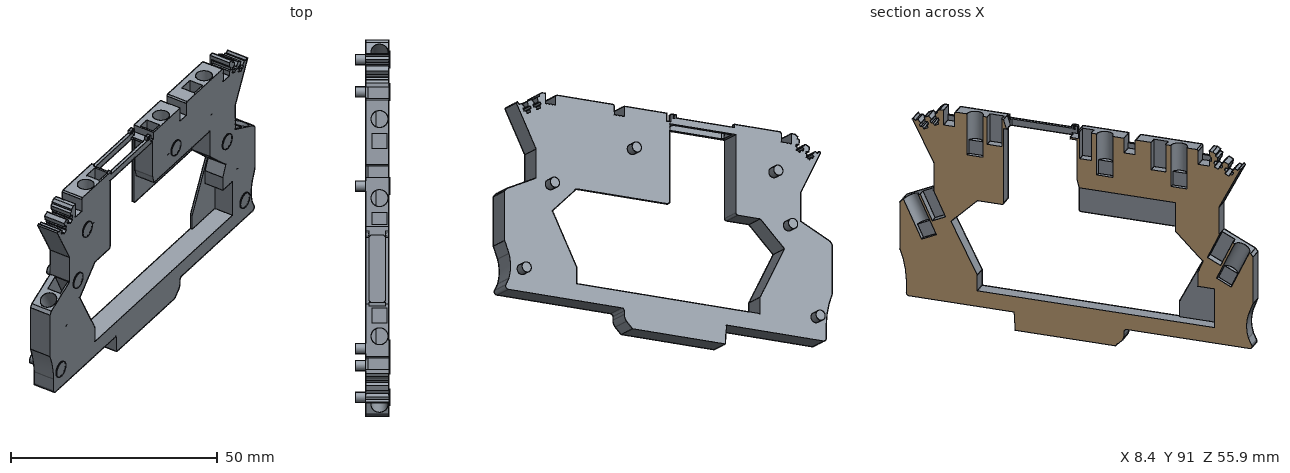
import cadquery as cq
import math

body_thick = 5.6
half_length = 45.5
height = 55.9
web_thick = 0.55

foot_z = 4.8
rail_z = 9.1
waist_y = 36.8
window_top_z = 33.0
window_y = 25.5
window_peak = (32.2, 26.5)
gap_left_y = -0.4
gap_right_y = -18.75
notch_floor_z = 53.3
notch_width = 2.7
comb_notch_y = 34.1

comb_angle = math.radians(27)
comb_origin = (38.1, 53.7)
comb_pitch = 3.1
first_groove = -2.1
groove_levels = [(-0.1, 0.9), (1.2, 0.55), (1.4, 1.1), (1.9, 1.1), (2.1, 0.55), (2.7, 0.55)]


def comb_point(along, depth):
    """(y, z) of a point given along the +Y comb (rising inwards) and into the housing."""
    y = comb_origin[0] - along * math.cos(comb_angle) - depth * math.sin(comb_angle)
    z = comb_origin[1] + along * math.sin(comb_angle) - depth * math.cos(comb_angle)
    return (y, z)


def mirrored(points):
    return [(-y, z) for y, z in points]


def prism(points, x_start=0.0, x_end=body_thick):
    """Closed (y, z) polygon extruded along X."""
    return cq.Workplane("YZ").workplane(offset=x_start).polyline(points).close().extrude(x_end - x_start)


def block(x_range, y_range, z_range):
    size = [high - low for low, high in (x_range, y_range, z_range)]
    corner = [low for low, high in (x_range, y_range, z_range)]
    return cq.Workplane("XY").box(*size, centered=False).translate(tuple(corner))


def edges_along_x(y, z, margin=0.1):
    """Selector for the edges that run along X through (y, z)."""
    low = (-margin, y - margin, z - margin)
    high = (body_thick + margin, y + margin, z + margin)
    return cq.selectors.BoxSelector(low, high)


side_low_z = 17.0
end_face_top_z = 29.5
shoulder_low_y = 44.9
shoulder_low_z = 30.3
shoulder_high_z = 34.1
grip_y = 43.9
toe_y = 45.2
toe_radius = 0.8
comb_top_y = 35.1
neck_low_z = 41.4
key_right_y = -15.8
key_right_root_y = -16.1
key_bottom_y = 10.0
key_left_y = 12.3
key_fillet = 0.6

upper_end = [
    (half_length, side_low_z),
    (half_length, end_face_top_z),
    (shoulder_low_y, shoulder_low_z),
    (waist_y, shoulder_high_z),
    (waist_y, neck_low_z),
    comb_point(-4.4, -0.55),
    comb_point(-3.9, -0.7),
    comb_point(-3.7, 0),
    comb_point(2.55, 0),
    comb_point(2.7, -0.5),
    (comb_top_y, height),
]

outline = cq.Workplane("YZ").moveTo(*upper_end[0])
for point in upper_end[1:] + mirrored(upper_end)[::-1]:
    outline = outline.lineTo(*point)
housing = (
    outline
    .threePointArc((-44.3, 13.1), (-grip_y, 9.2))
    .lineTo(-grip_y, foot_z + toe_radius)
    .radiusArc((-grip_y + toe_radius, foot_z), -toe_radius)
    .lineTo(key_right_root_y, foot_z)
    .lineTo(key_right_y, 0)
    .lineTo(key_bottom_y, 0)
    .lineTo(11.65, 1.6)
    .threePointArc((12.1, 2.4), (key_left_y, 3.3))
    .lineTo(key_left_y, foot_z - key_fillet)
    .radiusArc((key_left_y + key_fillet, foot_z), key_fillet)
    .lineTo(toe_y - toe_radius, foot_z)
    .threePointArc((toe_y - 0.1, foot_z + 0.4), (toe_y - 0.1, 5.9))
    .lineTo(44.3, 7.6)
    .threePointArc((grip_y, 10.9), (44.3, 13.9))
    .close()
    .extrude(body_thick)
)

left_window = [(window_y, rail_z), (window_y, 13.3), window_peak, (window_y, window_top_z)]
window = prism(left_window + mirrored(left_window)[::-1])
gap = block((0, body_thick), (gap_right_y, gap_left_y), (rail_z, notch_floor_z))
housing = housing.cut(window).cut(gap)
corner_radius = 0.55
for corner_y in (gap_left_y, gap_right_y):
    housing = housing.edges(edges_along_x(corner_y, window_top_z)).fillet(corner_radius)

for groove_centre in (first_groove, first_groove + comb_pitch):
    near_wall = [comb_point(groove_centre - half, depth) for depth, half in groove_levels]
    far_wall = [comb_point(groove_centre + half, depth) for depth, half in groove_levels]
    groove = near_wall + far_wall[::-1]
    housing = housing.cut(prism(groove)).cut(prism(mirrored(groove)))

notch_extra_depth = 1.4
notch_corner = 0.4
middle_notch_y = 12.3
notches = [
    (comb_notch_y - notch_width, comb_notch_y - notch_width, -1),
    (middle_notch_y, middle_notch_y + notch_width, 1),
    (-comb_notch_y, -comb_notch_y + notch_width, 1),
]
for low_y, bevel_y, inward in notches:
    span = (low_y, low_y + notch_width)
    housing = housing.cut(block((0, body_thick), span, (notch_floor_z, height)))
    housing = housing.cut(
        block((web_thick, body_thick), span, (notch_floor_z - notch_extra_depth, height)))
    bevel = [
        (bevel_y, height),
        (bevel_y + inward * notch_corner, height),
        (bevel_y, height - notch_corner),
    ]
    housing = housing.cut(prism(bevel))

tooth_undercut = [
    (comb_notch_y, 54.8),
    (comb_notch_y + 0.55, 54.05),
    (comb_notch_y + 0.55, notch_floor_z),
    (comb_notch_y, notch_floor_z),
]
housing = housing.cut(prism(tooth_undercut, web_thick, body_thick))

lever_slot_y = (-0.6, 0.5)
lever_slot_z = 53.9
lever_top_z = 55.1
block_edge_y = -18.3
arm_width = 0.8
hinge_end_y = -2.3
opening_y = (-17.9, -1.6)
opening_corner = 0.5
knob_radius = 0.4
pivot_y = -1.55
pivot_z = 55.2
pivot_width = 0.5
pivot_height = 0.7
between_arms = (arm_width, body_thick - arm_width)

housing = housing.cut(block((0, body_thick), lever_slot_y, (lever_slot_z, height)))
housing = housing.cut(block((0, body_thick), (block_edge_y, hinge_end_y), (lever_top_z, height)))
opening = block(between_arms, opening_y, (notch_floor_z, height)).edges("|Z").chamfer(opening_corner)
housing = housing.cut(opening)
housing = housing.cut(block(between_arms, (hinge_end_y, lever_slot_y[0]), (lever_slot_z, height)))
housing = housing.cut(block(
    (0, body_thick),
    (pivot_y - pivot_width / 2, pivot_y + pivot_width / 2),
    (pivot_z - pivot_height / 2, pivot_z + pivot_height / 2)))
for knob_edge_y in (hinge_end_y, lever_slot_y[0]):
    housing = housing.edges(edges_along_x(knob_edge_y, height)).fillet(knob_radius)
ramp = [(opening_y[0], notch_floor_z), (gap_right_y, height), (opening_y[0], height)]
housing = housing.cut(prism(ramp, *between_arms))

block_end_y = 0.1
block_relief_z = 40.7
block_relief = [
    (gap_left_y, window_top_z),
    (gap_left_y, notch_floor_z),
    (block_end_y, notch_floor_z),
    (block_end_y, 42.8),
    (0.6, block_relief_z),
    (window_y, block_relief_z),
    (window_y, window_top_z),
]
leg_relief_y = 35.5
tab_y = 31.2
tab_bottom_z = 19.3
leg_relief = [
    (window_y, rail_z),
    (leg_relief_y, rail_z),
    (leg_relief_y, tab_bottom_z),
    (tab_y, tab_bottom_z),
    (tab_y, 23.1),
    (32.6, 26.3),
    window_peak,
    (window_y, 13.3),
]
for relief in (block_relief, leg_relief):
    housing = housing.cut(prism(relief, web_thick, body_thick))

entry_x = 3.4
entry_diameter = 4.1
entry_depth = 7.3
clamp_depth = 3.6
clamp_x_start = 2.55
release_size = 3.6
release_depth = 7.3


def entry_cutter():
    """Round entry going down from z = 0, narrowed to its +X part at the bottom."""
    radius = entry_diameter / 2
    bore = cq.Workplane("XY").center(entry_x, 0).circle(radius).extrude(-entry_depth)
    deep = cq.Workplane("XY").center(entry_x, 0).circle(radius).extrude(-entry_depth - clamp_depth)
    keep = block((clamp_x_start, body_thick), (-radius, radius), (-entry_depth - clamp_depth, 0))
    return bore.union(deep.intersect(keep))


def release_cutter(length=release_size):
    """Rectangular opening going down from z = 0."""
    return cq.Workplane("XY").center(entry_x, 0).rect(release_size, length).extrude(-release_depth)


short_release = 2.9
top_terminals = [(26.4, 21.1, release_size), (7.3, 2.4, short_release), (-26.1, -21.1, release_size)]
for entry_y, release_y, release_length in top_terminals:
    housing = housing.cut(entry_cutter().translate((0, entry_y, height)))
    housing = housing.cut(release_cutter(release_length).translate((0, release_y, height)))

shoulder_run = shoulder_low_y - waist_y
shoulder_rise = shoulder_high_z - shoulder_low_z
shoulder_angle = math.degrees(math.atan2(shoulder_rise, shoulder_run))
shoulder_length = math.hypot(shoulder_run, shoulder_rise)
shoulder_entry = 2.5
shoulder_release = 7.0
for cutter, distance in [(entry_cutter(), shoulder_entry), (release_cutter(), shoulder_release)]:
    share = distance / shoulder_length
    seat_y = shoulder_low_y - share * shoulder_run
    seat_z = shoulder_low_z + share * shoulder_rise
    for side in (1, -1):
        tilted = cutter.rotate((0, 0, 0), (1, 0, 0), -side * shoulder_angle)
        housing = housing.cut(tilted.translate((0, side * seat_y, seat_z)))

pin_length = 2.5
pin_diameter = 2.55
pad_thick = 0.3
pad_diameter = 4.1
pin_places = [(32.9, 32.9), (10.2, 45.2), (40.8, 10.4), (-29.1, 45.2), (-33.2, 32.4), (-40.9, 10.4)]
pins = cq.Workplane("YZ").pushPoints(pin_places).circle(pin_diameter / 2).extrude(-pin_length)
pads = (
    cq.Workplane("YZ").workplane(offset=body_thick)
    .pushPoints(pin_places).circle(pad_diameter / 2).extrude(pad_thick)
)

result = housing.union(pins).union(pads)